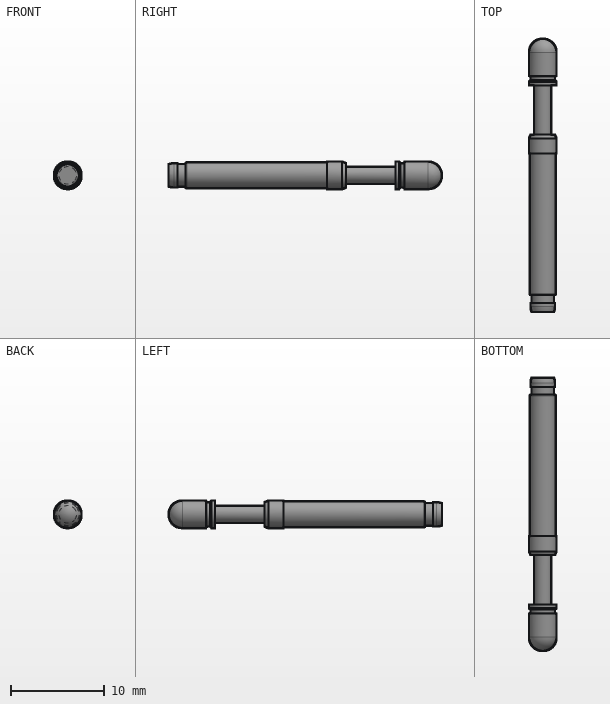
import cadquery as cq
import math

length = 29.3

head_radius = 1.5
head_groove_radius = 1.32
head_groove_fillet = 0.15
plunger_radius = 0.95
collar_radius = head_radius
collar_front_radius = 1.32
sleeve_radius = 1.4
sleeve_roll = 0.18
tail_groove_radius = sleeve_radius - sleeve_roll
tail_radius = 1.32
tail_end_radius = 1.2

dome_end = head_radius
head_end = 4.0
groove_flank_start = 4.45
groove_flank_length = head_radius - head_groove_radius
groove_flank_end = groove_flank_start + groove_flank_length
flange_end = 5.0

collar_start = 10.28
collar_bevel_end = 10.7
collar_end = 12.3
sleeve_end = 27.3

tail_start = 28.3
tail_round_start = 28.7


def at(radius, station):
    """Point of the half profile, with the part centred along Y."""
    return (radius, length / 2 - station)


def on_arc(centre_radius, centre_station, arc_radius, angle):
    """Point on an arc; the angle turns from outward (+X) toward the tip (+Y)."""
    turn = math.radians(angle)
    radius = centre_radius + arc_radius * math.cos(turn)
    return at(radius, centre_station - arc_radius * math.sin(turn))


def head_profile(path):
    """Domed head, filleted snap groove and flange."""
    fillet_radius = head_groove_radius + head_groove_fillet
    fillet_station = head_end + head_groove_fillet
    return (
        path.threePointArc(on_arc(0, dome_end, head_radius, 45), at(head_radius, dome_end))
        .lineTo(*at(head_radius, head_end))
        .lineTo(*at(fillet_radius, head_end))
        .threePointArc(
            on_arc(fillet_radius, fillet_station, head_groove_fillet, 135),
            at(head_groove_radius, fillet_station),
        )
        .lineTo(*at(head_groove_radius, groove_flank_start))
        .lineTo(*at(head_radius, groove_flank_end))
        .lineTo(*at(head_radius, flange_end))
        .lineTo(*at(plunger_radius, flange_end))
    )


def sleeve_profile(path):
    """Plunger, bevelled stop collar and sleeve with a rolled rear edge."""
    roll_end = sleeve_end + sleeve_roll
    return (
        path.lineTo(*at(plunger_radius, collar_start))
        .lineTo(*at(collar_front_radius, collar_start))
        .lineTo(*at(collar_radius, collar_bevel_end))
        .lineTo(*at(collar_radius, collar_end))
        .lineTo(*at(sleeve_radius, collar_end))
        .lineTo(*at(sleeve_radius, sleeve_end))
        .threePointArc(
            on_arc(tail_groove_radius, sleeve_end, sleeve_roll, -45),
            at(tail_groove_radius, roll_end),
        )
    )


def tail_profile(path):
    """Crimp groove and tail band, rounded gently toward a flat end."""
    return (
        path.lineTo(*at(tail_groove_radius, tail_start))
        .lineTo(*at(tail_radius, tail_start))
        .lineTo(*at(tail_radius, tail_round_start))
        .tangentArcPoint(at(tail_end_radius, length), relative=False)
        .lineTo(*at(0, length))
    )


profile = cq.Workplane("XY").moveTo(*at(0, 0))
profile = head_profile(profile)
profile = sleeve_profile(profile)
profile = tail_profile(profile).close()

result = profile.revolve(360, (0, 0, 0), (0, 1, 0))